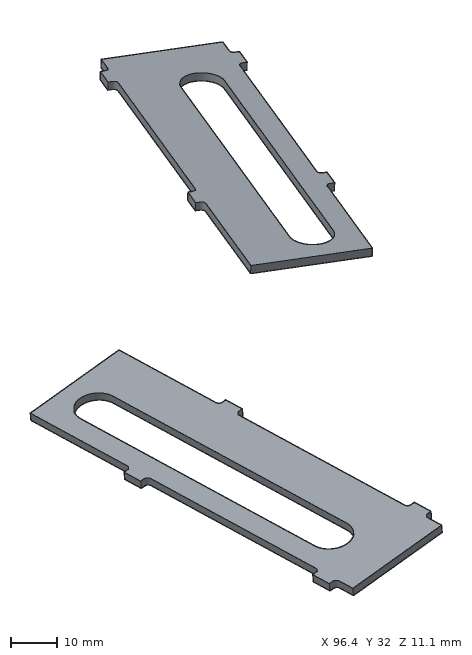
import cadquery as cq
import math

overall_length = 96.4
overall_width = 32.0
thickness = 2.0
tilt_degrees = 5.4
tilt = math.radians(tilt_degrees)

plate_length = (overall_length - thickness * math.sin(tilt)) / math.cos(tilt)
tab_height = 2.0
plate_width = overall_width - 2 * tab_height

tab_width = 5.0
first_tab_start = 5.1
tab_pitch = 56.5
root_radius = 1.0

slot_start = 11.7
slot_length = 80.0
slot_width = 10.0
slot_offset = 3.5

plate_start = -plate_length / 2


def make_tab_bar(start):
    """Bar across the plate whose two ends form a pair of opposite tabs."""
    center_x = plate_start + start + tab_width / 2
    return cq.Workplane("XY").center(center_x, 0).box(tab_width, overall_width, thickness)


def make_plate():
    """Rectangular plate with two pairs of tabs, rounded where they join it."""
    plate = cq.Workplane("XY").box(plate_length, plate_width, thickness)
    for start in (first_tab_start, first_tab_start + tab_pitch):
        plate = plate.union(make_tab_bar(start))

    root_points = [
        (plate_start + start + side, sign * plate_width / 2, 0)
        for start in (first_tab_start, first_tab_start + tab_pitch)
        for side in (0, tab_width)
        for sign in (-1, 1)
    ]
    roots = plate.newObject([])
    for point in root_points:
        roots = roots.add(plate.edges(cq.selectors.NearestToPointSelector(point)))
    return roots.fillet(root_radius)


def make_slot():
    """Round-ended cutter through the full thickness."""
    center_x = plate_start + slot_start + slot_length / 2
    return (
        cq.Workplane("XY")
        .center(center_x, slot_offset)
        .slot2D(slot_length, slot_width)
        .extrude(thickness, both=True)
    )


flat_part = make_plate().cut(make_slot())
result = flat_part.rotate((0, 0, 0), (0, 1, 0), tilt_degrees)